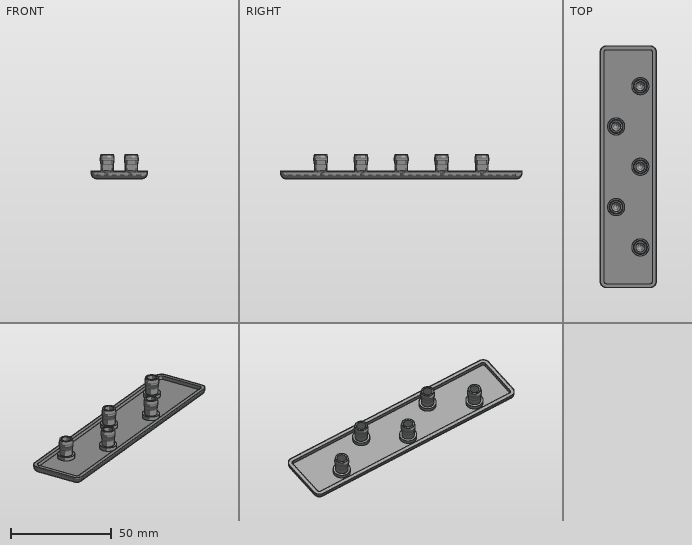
import cadquery as cq

length = 120.0
width = 28.0
rim_height = 4.0
wall = 1.9
floor_thickness = 2.0
bottom_radius = 3.1
corner_radius = 3.2

total_height = 12.1
foot_diameter = 8.5
neck_diameter = 6.2
barb_diameter = 7.0
tip_diameter = 6.2
barb_start = total_height - 5.0
barb_low_edge = total_height - 2.9
barb_high_edge = total_height - 1.8

bore_diameter = 4.5
taper_diameter = 2.5
bore_depth = 7.9
taper_depth = 1.1
point_depth = 0.7

stud_count = 5
stud_pitch = length / 6
stud_offset = 6.0


def make_tray():
    """Rounded tray with a flat-floored recess."""
    body = (
        cq.Workplane("XY")
        .rect(width, length)
        .extrude(rim_height)
        .edges("|Z")
        .fillet(corner_radius)
        .faces("<Z")
        .edges()
        .fillet(bottom_radius)
    )
    recess = (
        cq.Workplane("XY", origin=(0, 0, floor_thickness))
        .rect(width - 2 * wall, length - 2 * wall)
        .extrude(rim_height)
        .edges("|Z")
        .fillet(corner_radius - wall)
    )
    return body.cut(recess)


def make_stud():
    """Stud revolved about Z; its foot starts inside the floor so that the two fuse."""
    bore_bottom = total_height - bore_depth
    taper_bottom = bore_bottom - taper_depth
    foot_bottom = floor_thickness / 2
    return (
        cq.Workplane("XZ")
        .moveTo(0, foot_bottom)
        .lineTo(foot_diameter / 2, foot_bottom)
        .lineTo(foot_diameter / 2, rim_height)
        .lineTo(neck_diameter / 2, rim_height)
        .lineTo(neck_diameter / 2, barb_start)
        .lineTo(barb_diameter / 2, barb_low_edge)
        .lineTo(barb_diameter / 2, barb_high_edge)
        .lineTo(tip_diameter / 2, total_height)
        .lineTo(bore_diameter / 2, total_height)
        .lineTo(bore_diameter / 2, bore_bottom)
        .lineTo(taper_diameter / 2, taper_bottom)
        .lineTo(0, taper_bottom - point_depth)
        .close()
        .revolve(360, (0, 0, 0), (0, 1, 0))
    )


result = make_tray()
stud = make_stud()
for index in range(stud_count):
    stud_x = stud_offset if index % 2 == 0 else -stud_offset
    stud_y = (index - (stud_count - 1) / 2) * stud_pitch
    result = result.union(stud.translate((stud_x, stud_y, 0)))